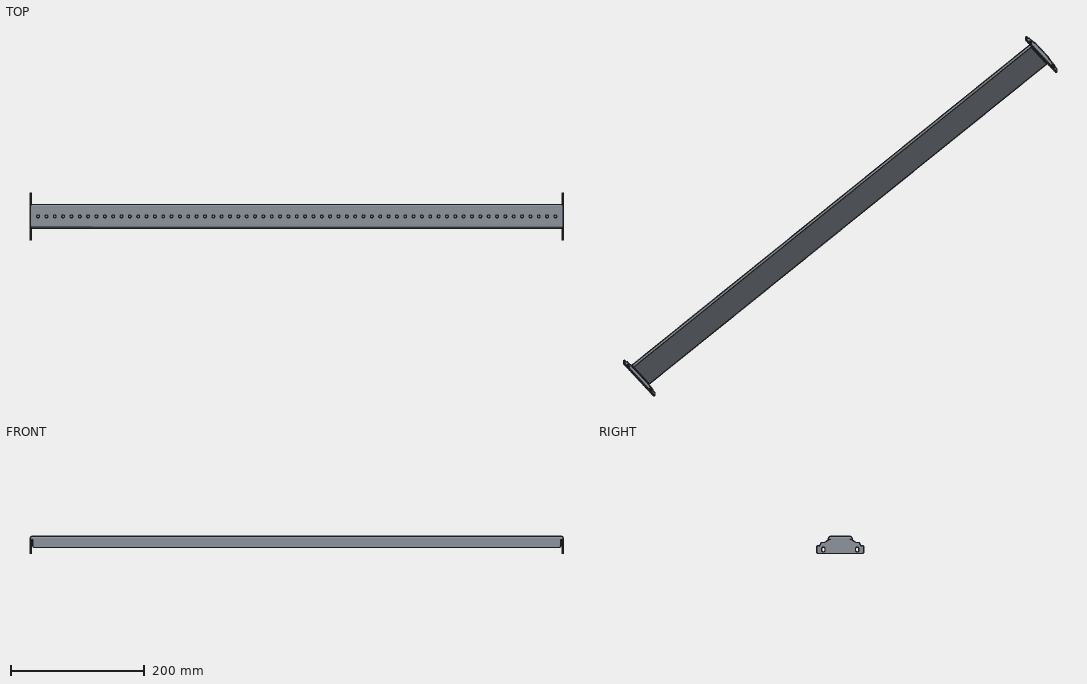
import cadquery as cq

overall_length = 799.0
plate_width = 70.6
overall_height = 26.0

rail_width = 36.0
rail_height = 17.0
rail_edge_radius = 3.7
rail_bottom = overall_height - rail_height
rail_end_chamfer = 2.0

hole_count = 63
hole_pitch = 12.5
hole_diameter = 4.4
hole_depth = 2.0

plate_thickness = 2.0
cap_depth = 3.7
head_height = 5.0
head_bottom = overall_height - head_height

foot_height = 12.0
foot_half_width = plate_width / 2
foot_corner_radius = 2.0
foot_ledge_half_width = 31.0
shoulder_height = 16.9
shoulder_half_width = 28.5
shoulder_inner_half_width = 23.5
neck_half_width = rail_width / 2
neck_height = 20.3

slot_spacing = 50.6
slot_width = 4.5
slot_height = 7.0
slot_center_height = 6.0


def make_bar():
    """Full-length bar along X, rounded along its upper long edges and upper end edges."""
    bar = cq.Workplane("XY", origin=(0, 0, rail_bottom)).box(
        overall_length, rail_width, rail_height, centered=(True, True, False)
    )
    bar = bar.faces(">Z").edges("|X").fillet(rail_edge_radius)
    return bar.faces("<X or >X").edges(">Z").fillet(cap_depth)


def make_hole_row():
    """Cutters for the evenly spaced holes in the rail's top face."""
    return (
        cq.Workplane("XY", origin=(0, 0, overall_height))
        .rarray(hole_pitch, 1, hole_count, 1)
        .circle(hole_diameter / 2)
        .extrude(-hole_depth)
    )


def make_left_relief():
    """Cutter below the cap's head: frees the plate from the rail and chamfers the rail's lower end."""
    outer_x = -overall_length / 2
    rail_end_x = outer_x + cap_depth
    return (
        cq.Workplane("XZ")
        .polyline([
            (outer_x, head_bottom),
            (rail_end_x, head_bottom),
            (rail_end_x, rail_bottom + rail_end_chamfer),
            (rail_end_x + rail_end_chamfer, rail_bottom),
            (outer_x, rail_bottom),
        ])
        .close()
        .extrude(rail_width / 2, both=True)
    )


def make_left_plate():
    """Stepped plate at the -X end, with two mounting slots, up to the root of the cap's head."""
    half_outline = [
        (foot_half_width, 0),
        (foot_half_width, foot_height),
        (foot_ledge_half_width, foot_height),
        (shoulder_half_width, shoulder_height),
        (shoulder_inner_half_width, shoulder_height),
        (neck_half_width, neck_height),
        (neck_half_width, head_bottom),
    ]
    mirrored_half = [(-y, z) for y, z in reversed(half_outline)]
    plate = (
        cq.Workplane("YZ", origin=(-overall_length / 2, 0, 0))
        .polyline(half_outline + mirrored_half)
        .close()
        .extrude(plate_thickness)
    )
    plate = plate.edges("|X").edges("<Y or >Y").fillet(foot_corner_radius)
    slots = (
        cq.Workplane("YZ", origin=(-overall_length / 2, 0, slot_center_height))
        .rarray(slot_spacing, 1, 2, 1)
        .slot2D(slot_height, slot_width, 90)
        .extrude(plate_thickness)
    )
    return plate.cut(slots)


left_relief = make_left_relief()
left_plate = make_left_plate()
result = make_bar().cut(make_hole_row())
result = result.cut(left_relief).cut(left_relief.mirror("YZ"))
result = result.union(left_plate).union(left_plate.mirror("YZ"))